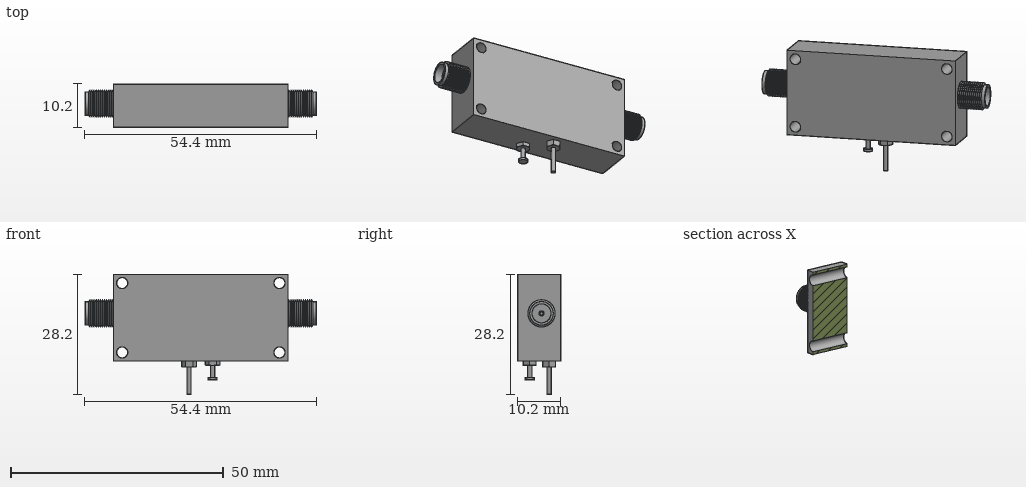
import cadquery as cq

total_length = 54.35
total_height = 28.2
case_length = 41.1
case_depth = 10.15
case_height = 20.45

mount_hole_diameter = 2.55
mount_hole_inset = 2.05

connector_height = 11.25
connector_from_front = 5.6
barrel_radius = 2.75
thread_radius = 3.2
lip_length = 0.8
thread_pitch = 0.5
tooth_width = 0.3
tooth_count = 12
bore_radius = 2.25
bore_depth = 1.9
contact_radius = 0.6
contact_bore_radius = 0.4
contact_rise = 0.1

terminal_offset = 2.75
hex_across_corners = 3.55
hex_chamfer = 0.2
hex_chamfer_height = 0.15

pin_from_front = 7.4
pin_hex_height = 1.4
pin_diameter = 1.05

turret_from_front = 2.8
turret_hex_height = 1.0
turret_length = 4.4
turret_shaft_diameter = 1.1
turret_head_diameter = 2.2
turret_head_thickness = 0.55

connector_length = (total_length - case_length) / 2
pin_length = total_height - case_height
hole_x = case_length / 2 - mount_hole_inset
hole_heights = (mount_hole_inset, case_height - mount_hole_inset)


def rod(diameter, top, length):
    """Round bar hanging down from the height top."""
    return cq.Workplane("XY").workplane(offset=top).circle(diameter / 2).extrude(-length)


def hex_base(height):
    """Hexagon hanging below Z = 0 with its lower corners chamfered by a turned cone."""
    prism = cq.Workplane("XY").polygon(6, hex_across_corners).extrude(-height)
    turned = rod(hex_across_corners, 0, height).faces("<Z").chamfer(hex_chamfer_height, hex_chamfer)
    return prism.intersect(turned)


def ground_turret():
    """Short post with a hexagonal base and a flanged tip."""
    shaft = rod(turret_shaft_diameter, 0, turret_length)
    head = rod(turret_head_diameter, turret_head_thickness - turret_length, turret_head_thickness)
    turret = hex_base(turret_hex_height).union(shaft).union(head)
    return turret.translate((terminal_offset, turret_from_front, 0))


def mount_holes():
    """Cutters for the four corner holes."""
    places = [(x, z) for x in (-hole_x, hole_x) for z in hole_heights]
    return cq.Workplane("XZ").pushPoints(places).circle(mount_hole_diameter / 2).extrude(-case_depth)


def make_housing():
    """Rectangular case with its corner holes and the ground turret in one piece."""
    case = cq.Workplane("XY").box(case_length, case_depth, case_height, centered=(True, False, False))
    return case.cut(mount_holes()).union(ground_turret())


def make_feed_pin():
    """Long straight pin with a hexagonal base, seated on the underside of the case."""
    pin = hex_base(pin_hex_height).union(rod(pin_diameter, 0, pin_length))
    return pin.translate((-terminal_offset, pin_from_front, 0))


def threaded_barrel():
    """Solid barrel along +X from X = 0; each thread ridge rises from the mouth side and drops sharply."""
    profile = cq.Workplane("XY").lineTo(connector_length, 0).lineTo(connector_length, barrel_radius)
    for i in range(tooth_count):
        tooth_start = connector_length - lip_length - i * thread_pitch
        tooth_end = tooth_start - tooth_width
        profile = profile.lineTo(tooth_start, barrel_radius)
        profile = profile.lineTo(tooth_end, thread_radius)
        profile = profile.lineTo(tooth_end, barrel_radius)
    return profile.lineTo(0, barrel_radius).close().revolve(360, (0, 0, 0), (1, 0, 0))


def make_connector(side):
    """Connector on one end of the case; side is -1 for the -X end and +1 for the +X end."""
    floor = cq.Workplane("YZ").workplane(offset=connector_length - bore_depth)
    bore = floor.circle(bore_radius).extrude(bore_depth)
    contact = floor.circle(contact_radius).circle(contact_bore_radius).extrude(contact_rise)
    connector = threaded_barrel().cut(bore).union(contact)
    if side < 0:
        connector = connector.mirror("YZ")
    return connector.translate((side * case_length / 2, connector_from_front, connector_height))


housing = make_housing()
connectors = [make_connector(side) for side in (-1, 1)]
feed_pin = make_feed_pin()

result = cq.Compound.makeCompound([housing.val(), *[connector.val() for connector in connectors], feed_pin.val()])